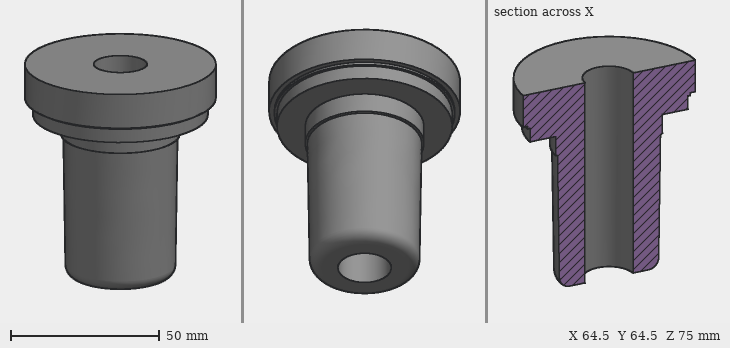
import cadquery as cq

height = 75.0
flange_depth = 12.0
step_depth = 13.0
spigot_depth = 18.0
neck_depth = 25.0
bevel_depth = 25.3

flange_radius = 32.25
step_radius = 30.45
spigot_radius = 29.55
neck_radius = 20.0
shank_top_radius = 19.35
shank_end_radius = 18.6
bore_radius = 9.0

end_fillet = 4.0


def half_section():
    """Radius and depth of each corner on one side of the axis, bore surface to bore surface."""
    return [
        (bore_radius, 0),
        (flange_radius, 0),
        (flange_radius, flange_depth),
        (step_radius, flange_depth),
        (step_radius, step_depth),
        (spigot_radius, step_depth),
        (spigot_radius, spigot_depth),
        (neck_radius, spigot_depth),
        (neck_radius, neck_depth),
        (shank_top_radius, bevel_depth),
        (shank_end_radius, height),
        (bore_radius, height),
    ]


section_points = [(-radius, height - depth) for radius, depth in half_section()]
body = cq.Workplane("YZ").polyline(section_points).close().revolve(360, (0, 0, 0), (0, 1, 0))

shank_rim = cq.selectors.RadiusNthSelector(-1)
result = body.faces("<Z").edges(shank_rim).fillet(end_fillet)